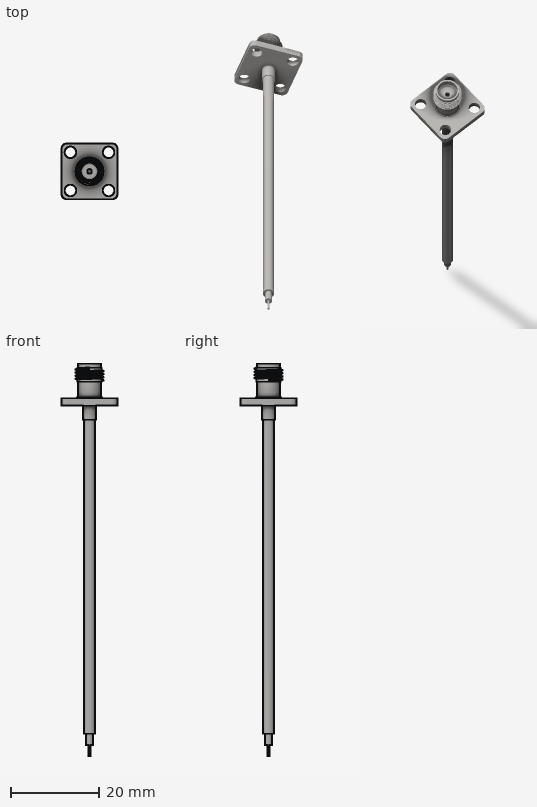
import cadquery as cq
import math


overall_length = 88.9
connector_front_height = 9.5
cable_tip_z = connector_front_height - overall_length

flange_size = 12.7
flange_thickness = 1.65
flange_corner_radius = 1.27
mount_hole_diameter = 2.57
mount_hole_spacing = 8.64

barrel_diameter = 5.3
collar_diameter = 5.7
collar_height = 0.2

thread_diameter = 6.35
thread_root_diameter = 5.65
thread_band_front_depth = 1.0
thread_band_length = 3.15
thread_pitch = 25.4 / 36
thread_turns = 3.75
thread_flank_angle = 30
thread_crest_width = 0.08
thread_embed = 0.1
thread_start_depth = 3.8

bore_diameter = 4.55
bore_depth = 1.7
bore_floor_diameter = 3.9
bore_floor_depth = 2.1
contact_hole_diameter = 1.1
contact_hole_depth = 2.5

ferrule_diameter = 3.05
ferrule_length = 3.175

jacket_diameter = 2.6
dielectric_diameter = 1.6
wire_diameter = 0.51
stripped_dielectric_length = 2.54
bare_wire_length = 2.54


def cylinder(diameter, bottom_z, height):
    """Upright cylinder on the Z axis."""
    return cq.Workplane("XY").workplane(offset=bottom_z).circle(diameter / 2).extrude(height)


def make_flange():
    """Square plate with rounded corners and four mounting holes."""
    return (
        cq.Workplane("XY")
        .rect(flange_size, flange_size)
        .extrude(flange_thickness)
        .edges("|Z")
        .fillet(flange_corner_radius)
        .faces(">Z")
        .workplane()
        .rect(mount_hole_spacing, mount_hole_spacing, forConstruction=True)
        .vertices()
        .hole(mount_hole_diameter)
    )


def make_thread():
    """Right-handed helical ridge, starting on the +X side and climbing toward the mating end."""
    inner_radius = thread_root_diameter / 2 - thread_embed
    crest_radius = thread_diameter / 2
    flank_rise = (crest_radius - inner_radius) * math.tan(math.radians(thread_flank_angle))
    half_crest = thread_crest_width / 2
    half_base = half_crest + flank_rise
    helix = cq.Wire.makeHelix(thread_pitch, thread_pitch * thread_turns, inner_radius)
    ridge = (
        cq.Workplane("XZ")
        .moveTo(inner_radius, -half_base)
        .lineTo(crest_radius, -half_crest)
        .lineTo(crest_radius, half_crest)
        .lineTo(inner_radius, half_base)
        .close()
        .sweep(cq.Workplane(obj=helix), isFrenet=True)
    )
    return ridge.translate((0, 0, connector_front_height - thread_start_depth))


def make_barrel():
    """Solid barrel with its collar, thread band and thread."""
    barrel = cylinder(barrel_diameter, 0, connector_front_height)
    collar = cylinder(collar_diameter, flange_thickness, collar_height)
    band_bottom_z = connector_front_height - thread_band_front_depth - thread_band_length
    band = cylinder(thread_root_diameter, band_bottom_z, thread_band_length)
    return barrel.union(collar).union(band.union(make_thread()))


def make_socket():
    """Space cut into the mating end: a bore with a tapered floor edge."""
    return (
        cq.Workplane("XZ")
        .moveTo(0, connector_front_height)
        .lineTo(bore_diameter / 2, connector_front_height)
        .lineTo(bore_diameter / 2, connector_front_height - bore_depth)
        .lineTo(bore_floor_diameter / 2, connector_front_height - bore_floor_depth)
        .lineTo(0, connector_front_height - bore_floor_depth)
        .close()
        .revolve(360, (0, 0, 0), (0, 1, 0))
    )


def make_connector():
    """Flange, barrel and ferrule as one solid, with the socket and the cable recess cut out."""
    floor_z = connector_front_height - bore_floor_depth
    contact_hole = cylinder(contact_hole_diameter, floor_z - contact_hole_depth, contact_hole_depth)
    ferrule = cylinder(ferrule_diameter, -ferrule_length, ferrule_length)
    cable_recess = cylinder(jacket_diameter, -ferrule_length, ferrule_length)
    return (
        make_flange()
        .union(make_barrel())
        .union(ferrule)
        .cut(make_socket())
        .cut(contact_hole)
        .cut(cable_recess)
    )


def make_cable():
    """Jacketed cable seated in the ferrule, with stripped dielectric and bare wire below."""
    dielectric_end_z = cable_tip_z + bare_wire_length
    jacket_end_z = dielectric_end_z + stripped_dielectric_length
    wire = cylinder(wire_diameter, cable_tip_z, bare_wire_length)
    dielectric = cylinder(dielectric_diameter, dielectric_end_z, stripped_dielectric_length)
    jacket = cylinder(jacket_diameter, jacket_end_z, -jacket_end_z)
    return jacket.union(dielectric).union(wire)


connector = make_connector()
cable = make_cable()

result = cq.Compound.makeCompound([connector.val(), cable.val()])